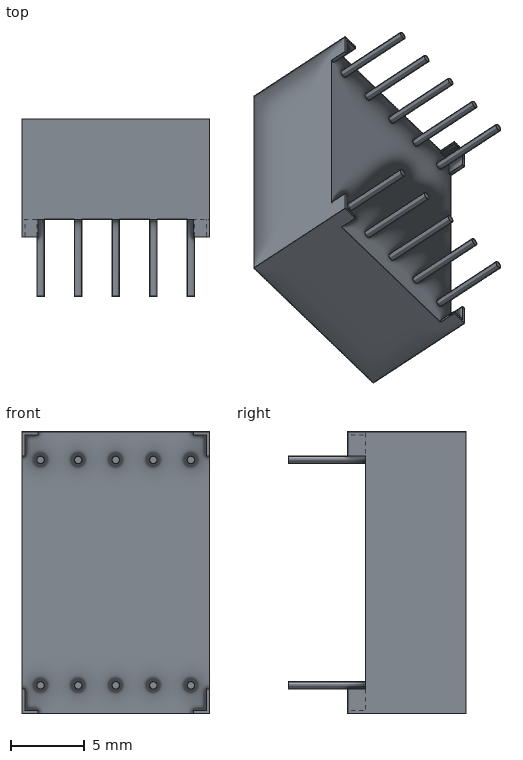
import cadquery as cq

body_width = 12.7
body_height = 19.05
body_depth = 6.8
overall_depth = 12.0

foot_length = 1.2
foot_leg_x = 1.1
foot_leg_z = 1.65
foot_wall = 0.22

pin_diameter = 0.5
pin_pitch = 2.54
pins_per_row = 5
row_count = 2
row_spacing = 15.24
pin_length = overall_depth - body_depth


def make_body():
    """Plain block, back face at Y = 0 and pin face at Y = -body_depth."""
    return cq.Workplane("XY").box(body_width, body_depth, body_height).translate((0, -body_depth / 2, 0))


def make_foot(side_x, side_z):
    """L-shaped foot flush with the outer corner on the given X and Z sides."""
    corner_x = side_x * body_width / 2
    corner_z = side_z * body_height / 2
    inner_x = corner_x - side_x * foot_wall
    inner_z = corner_z - side_z * foot_wall
    end_x = corner_x - side_x * foot_leg_x
    end_z = corner_z - side_z * foot_leg_z
    outline = [
        (corner_x, corner_z),
        (end_x, corner_z),
        (end_x, inner_z),
        (inner_x, inner_z),
        (inner_x, end_z),
        (corner_x, end_z),
    ]
    return (
        cq.Workplane("XZ", origin=(0, -body_depth, 0))
        .polyline(outline)
        .close()
        .extrude(foot_length)
    )


def make_pins():
    """All pins, standing on the pin face and pointing toward -Y."""
    return (
        cq.Workplane("XZ", origin=(0, -body_depth, 0))
        .rarray(pin_pitch, row_spacing, pins_per_row, row_count)
        .circle(pin_diameter / 2)
        .extrude(pin_length)
    )


result = make_body()
for side_x in (-1, 1):
    for side_z in (-1, 1):
        result = result.union(make_foot(side_x, side_z))
result = result.union(make_pins())